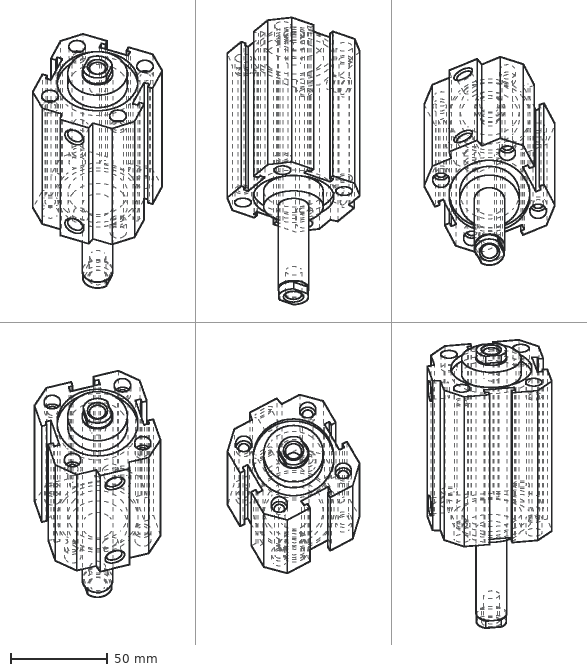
import cadquery as cq

total_length = 160.5
boss_height = 6.0
upper_stickout = 5.0
body_length = 88.5
boss_top = body_length + boss_height
rod_top = boss_top + upper_stickout
rod_bottom = rod_top - total_length

body_width = 57.0
overall_depth = 61.0
half_width = body_width / 2
corner_chamfer = 9.0
pad_face = half_width - overall_depth
pad_root_half_width = 8.8
pad_face_half_width = 8.0

slot_mouth_width = 11.9
slot_inner_width = 16.0
slot_lip = 2.7
slot_depth = 5.6

boss_diameter = 31.0
recess_radius = 21.0
recess_depth = 3.5

bolt_spacing = 38.0
bolt_diameter = 5.5
bolt_head_diameter = 8.5
bolt_head_depth = 8.0

port_inset = 10.5
port_diameter = 8.3
port_mouth_diameter = 10.6
port_depth = 9.6

rod_radius = 8.0
tip_diameter = 15.5
tip_length = 4.5
tip_taper = 0.5
flat_spacing = 13.2
flat_length = 4.2
thread_diameter = 8.3
thread_mouth_diameter = 10.5
thread_depth = 16.0
drill_point_depth = 2.4


def mirror_ends(shape):
    """Return the shape joined with its mirror image about the body's mid-length."""
    return shape.union(shape.mirror("XY", (0, 0, body_length / 2)))


def body_block():
    """Square bar with chamfered corners and a tapered port pad on the -Y side."""
    bar = cq.Workplane("XY").rect(body_width, body_width).extrude(body_length)
    bar = bar.edges("|Z").chamfer(corner_chamfer)
    pad = (
        cq.Workplane("XY")
        .polyline([
            (-pad_root_half_width, -half_width),
            (-pad_face_half_width, pad_face),
            (pad_face_half_width, pad_face),
            (pad_root_half_width, -half_width),
        ])
        .close()
        .extrude(body_length)
    )
    return bar.union(pad)


def t_slot():
    """Cutter for the full-length T-slot on the +X side."""
    from_floor = (False, True, False)
    mouth = cq.Workplane("XY").box(slot_depth, slot_mouth_width, body_length, centered=from_floor)
    inner = cq.Workplane("XY").box(slot_depth - slot_lip, slot_inner_width, body_length, centered=from_floor)
    return mouth.union(inner).translate((half_width - slot_depth, 0, 0))


def end_recess():
    """Cutter for the ring-shaped recess around the upper boss."""
    return (
        cq.Workplane("XY", origin=(0, 0, body_length - recess_depth))
        .circle(recess_radius)
        .circle(boss_diameter / 2)
        .extrude(recess_depth)
    )


def bolt_points(height):
    """The four bolt centres on a plane at the given height."""
    plane = cq.Workplane("XY", origin=(0, 0, height))
    return plane.rect(bolt_spacing, bolt_spacing, forConstruction=True).vertices()


def bolt_holes():
    """Cutter for the four through holes, counterbored at both ends."""
    through = bolt_points(0).circle(bolt_diameter / 2).extrude(body_length)
    head = bolt_points(body_length - bolt_head_depth).circle(bolt_head_diameter / 2).extrude(bolt_head_depth)
    return through.union(mirror_ends(head))


def hole_cutter(diameter, mouth_diameter, depth, point_depth):
    """Blind hole going down from the origin, with a 45 degree mouth and an optional drill point."""
    radius = diameter / 2
    mouth_radius = mouth_diameter / 2
    outline = [
        (0, 0),
        (mouth_radius, 0),
        (radius, radius - mouth_radius),
        (radius, -depth),
        (0, -depth - point_depth),
    ]
    return cq.Workplane("XZ").polyline(outline).close().revolve(360, (0, 0), (0, 1))


def air_port(height):
    """Cutter for one flat-bottomed port, entering from the pad face."""
    hole = hole_cutter(port_diameter, port_mouth_diameter, port_depth, 0)
    return hole.rotate((0, 0, 0), (1, 0, 0), 90).translate((0, pad_face, height))


def boss_to_boss_cylinder(radius):
    """Cylinder on the rod axis, as long as the housing with its bosses."""
    return cq.Workplane("XY", origin=(0, 0, -boss_height)).circle(radius).extrude(boss_height + boss_top)


def make_housing():
    """Housing bar with T-slots, end recesses, bosses, bolt holes, ports and rod bore."""
    housing = body_block()
    for angle in (0, 90, 180):
        housing = housing.cut(t_slot().rotate((0, 0, 0), (0, 0, 1), angle))
    housing = housing.cut(mirror_ends(end_recess())).union(boss_to_boss_cylinder(boss_diameter / 2))
    housing = housing.cut(bolt_holes())
    for height in (port_inset, body_length - port_inset):
        housing = housing.cut(air_port(height))
    return housing.cut(boss_to_boss_cylinder(rod_radius))


def rod_end_cut():
    """Cutter for the two flats and the drilled hole of a rod end whose tip face is on Z = 0."""
    ledge_end = -tip_length - tip_taper
    flat_profile = [
        (flat_spacing / 2, 0),
        (flat_spacing / 2, -flat_length),
        (rod_radius, ledge_end),
        (2 * rod_radius, ledge_end),
        (2 * rod_radius, 0),
    ]
    flat = cq.Workplane("XZ").polyline(flat_profile).close().extrude(rod_radius, both=True)
    thread = hole_cutter(thread_diameter, thread_mouth_diameter, thread_depth, drill_point_depth)
    return thread.union(flat).union(flat.mirror("YZ"))


def make_rod():
    """Through rod with tapered shoulders, wrench flats and a drilled hole at each end."""
    upper_shoulder = rod_top - tip_length
    lower_shoulder = rod_bottom + tip_length
    profile = [
        (0, rod_bottom),
        (tip_diameter / 2, rod_bottom),
        (tip_diameter / 2, lower_shoulder),
        (rod_radius, lower_shoulder + tip_taper),
        (rod_radius, upper_shoulder - tip_taper),
        (tip_diameter / 2, upper_shoulder),
        (tip_diameter / 2, rod_top),
        (0, rod_top),
    ]
    rod = cq.Workplane("XZ").polyline(profile).close().revolve(360, (0, 0), (0, 1))
    rod = rod.cut(rod_end_cut().translate((0, 0, rod_top)))
    return rod.cut(rod_end_cut().mirror("XY").translate((0, 0, rod_bottom)))


housing = make_housing()
rod = make_rod()
result = cq.Compound.makeCompound([housing.val(), rod.val()])